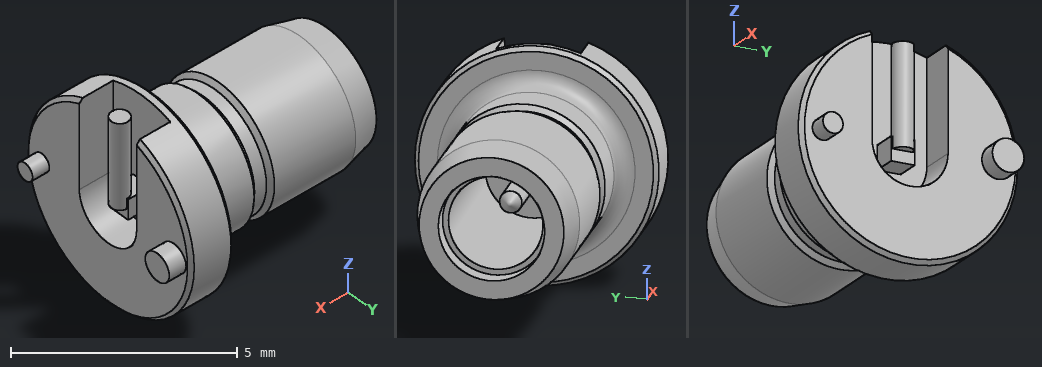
import cadquery as cq


total_length = 7.0
nose_end = 0.8
groove_start = 3.2
groove_end = 3.8
fillet_start = 4.8
cavity_floor = 5.5
flange_back = 6.5

body_radius = 1.83
nose_radius = 1.63
groove_depth = 0.125
flange_radius = 2.75
flange_chamfer = 0.105
neck_fillet = 0.4
flange_front = fillet_start + neck_fillet

socket_radius = 1.2
socket_inner_radius = 1.065
shoulder_depth = 0.5
socket_floor = fillet_start

contact_radius = 0.25
contact_tip = 2.0
tip_length = contact_radius

cavity_radius = 0.95

tail_width = 0.59
tail_end = 6.17
wire_radius = contact_radius
wire_x = 6.15
wire_top = 2.5

pin_offset = 2.2
locating_pins = [(pin_offset, 0.4), (-pin_offset, 0.25)]


def x_cylinder(radius, x_start, x_end, y=0.0):
    """Cylinder parallel to the X axis, at height z = 0."""
    return cq.Workplane("YZ", origin=(x_start, y, 0)).circle(radius).extrude(x_end - x_start)


def revolve_about_x(profile):
    return profile.close().revolve(360, (0, 0, 0), (1, 0, 0))


def make_shell():
    """Tapered nose, grooved barrel, filleted neck and chamfered flange."""
    groove_radius = body_radius - groove_depth
    rim_radius = flange_radius - flange_chamfer
    profile = (
        cq.Workplane("XY")
        .lineTo(0, nose_radius)
        .lineTo(nose_end, body_radius)
        .lineTo(groove_start, body_radius)
        .lineTo(groove_start + groove_depth, groove_radius)
        .lineTo(groove_end - groove_depth, groove_radius)
        .lineTo(groove_end, body_radius)
        .lineTo(fillet_start, body_radius)
        .radiusArc((flange_front, body_radius + neck_fillet), -neck_fillet)
        .lineTo(flange_front, rim_radius)
        .lineTo(flange_front + flange_chamfer, flange_radius)
        .lineTo(flange_back - flange_chamfer, flange_radius)
        .lineTo(flange_back, rim_radius)
        .lineTo(flange_back, 0)
    )
    return revolve_about_x(profile)


def make_socket():
    """Stepped blind bore entered from the mating end."""
    entry = x_cylinder(socket_radius, 0, shoulder_depth)
    return entry.union(x_cylinder(socket_inner_radius, 0, socket_floor))


def make_contact():
    """Pin standing on the socket floor, pointing to the mating end."""
    profile = (
        cq.Workplane("XY")
        .moveTo(contact_tip, 0)
        .lineTo(contact_tip + tip_length, contact_radius)
        .lineTo(cavity_floor, contact_radius)
        .lineTo(cavity_floor, 0)
    )
    return revolve_about_x(profile)


def make_cavity():
    """Round-bottomed cavity in the flange, with a slot of equal width up to the rim."""
    depth = flange_back - cavity_floor
    slot = cq.Workplane("XY").box(depth, 2 * cavity_radius, flange_radius, centered=(False, True, False))
    return x_cylinder(cavity_radius, cavity_floor, flange_back).union(slot.translate((cavity_floor, 0, 0)))


def make_tail():
    """Square contact tail on the cavity floor, carrying an upright wire."""
    bar = cq.Workplane("YZ", origin=(cavity_floor, 0, 0)).rect(tail_width, tail_width)
    bar = bar.extrude(tail_end - cavity_floor)
    wire = cq.Workplane("XY", origin=(wire_x, 0, 0)).circle(wire_radius).extrude(wire_top)
    return bar.union(wire)


result = make_shell().cut(make_socket()).cut(make_cavity())
result = result.union(make_contact()).union(make_tail())
for pin_y, pin_radius in locating_pins:
    result = result.union(x_cylinder(pin_radius, flange_back, total_length, pin_y))